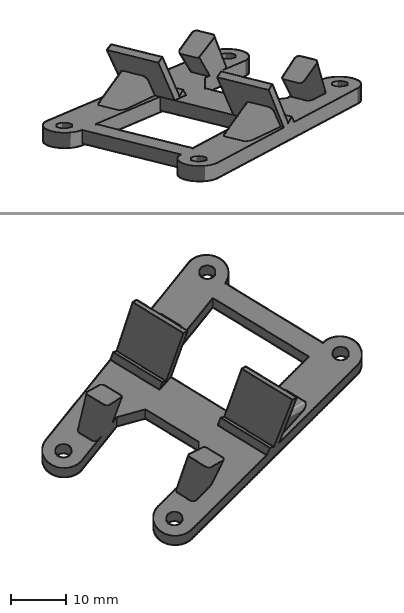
import cadquery as cq
import math

thickness = 3.0
length = 54.6
rear_half_spacing = 12.5
front_half_spacing = 15.0
hole_half_spacing = 23.55
lobe_radius = 4.0
hole_diameter = 2.95

front_bar_inner_y = -19.55
lower_edge_radius = 1.0
crossbar_rear_y = 7.35
notch_half_width = 6.0
notch_top_y = 11.85

lean = 60.0
top_z = 12.5
cradle_inner_x = 6.55
plate_thickness = 1.5
plate_foot_y = 0.6
lip_rear_y = 2.4
lip_peak_y = 1.5
lip_peak_z = 4.3
lip_valley_y = 0.4

brace_center_x = 14.05
brace_width = 6.1
brace_edge_radius = 1.05
brace_end_y = -11.2

post_top_y = 12.5
post_top_z = 8.8
post_height = 5.95
post_root_height = 4.85
post_outer_x = 13.9
post_root_outer_x = 13.25
post_inner_x = 9.0
post_root_inner_x = 8.85
post_corner_radius = 0.8
post_length = 8.2

lean_cos = math.cos(math.radians(lean))
lean_sin = math.sin(math.radians(lean))
lean_tan = math.tan(math.radians(lean))
plate_back_foot_y = plate_foot_y - plate_thickness / lean_sin
crossbar_front_y = plate_back_foot_y
leg_slope = (front_half_spacing - rear_half_spacing) / (2 * hole_half_spacing)


def leg_inner_x(y):
    """Distance from the centre plane to the inner edge of a leg."""
    mid_spacing = (front_half_spacing + rear_half_spacing) / 2
    return mid_spacing - leg_slope * y - lobe_radius


def leg_prism(height):
    """Right-hand leg outline with rounded ends, extruded up from the underside."""
    return (
        cq.Workplane("XY")
        .moveTo(rear_half_spacing - lobe_radius, hole_half_spacing)
        .threePointArc(
            (rear_half_spacing, length / 2),
            (rear_half_spacing + lobe_radius, hole_half_spacing),
        )
        .lineTo(front_half_spacing + lobe_radius, -hole_half_spacing)
        .threePointArc(
            (front_half_spacing, -length / 2),
            (front_half_spacing - lobe_radius, -hole_half_spacing),
        )
        .close()
        .extrude(height)
    )


def side_prism(points, inner_x, outer_x):
    """Extrude a closed (y, z) profile between two x positions."""
    return cq.Workplane("YZ", origin=(inner_x, 0, 0)).polyline(points).close().extrude(outer_x - inner_x)


def crossbar():
    half_outline = [
        (notch_half_width, crossbar_rear_y),
        (leg_inner_x(notch_top_y), notch_top_y),
        (rear_half_spacing, notch_top_y),
        (rear_half_spacing, crossbar_front_y),
    ]
    mirrored = [(-x, y) for x, y in reversed(half_outline)]
    return (
        cq.Workplane("XY")
        .polyline(half_outline + mirrored)
        .close()
        .extrude(thickness)
        .edges("<Y and <Z")
        .fillet(lower_edge_radius)
    )


def front_bar():
    depth = front_bar_inner_y + hole_half_spacing
    return (
        cq.Workplane("XY", origin=(0, -hole_half_spacing + depth / 2, 0))
        .rect(2 * front_half_spacing, depth)
        .extrude(thickness)
        .edges("<Y and <Z")
        .fillet(lower_edge_radius)
    )


def cradle():
    """Leaning plate and lip, trimmed flush with the outer edge of the leg."""
    front_top_y = plate_foot_y - (top_z - thickness) / lean_tan
    back_top_y = front_top_y - plate_thickness * lean_sin
    back_top_z = top_z - plate_thickness * lean_cos
    valley_z = thickness + (plate_foot_y - lip_valley_y) * lean_tan
    profile = [
        (lip_rear_y, thickness / 2),
        (lip_rear_y, thickness),
        (lip_peak_y, lip_peak_z),
        (lip_valley_y, valley_z),
        (front_top_y, top_z),
        (back_top_y, back_top_z),
        (plate_back_foot_y, thickness),
        (plate_back_foot_y, thickness / 2),
    ]
    outer_x = front_half_spacing + lobe_radius
    trim_y = length / 2
    edge_shift = 2 * lobe_radius
    trim = (
        cq.Workplane("XY")
        .moveTo(0, trim_y)
        .lineTo(leg_inner_x(trim_y) + edge_shift, trim_y)
        .lineTo(leg_inner_x(-trim_y) + edge_shift, -trim_y)
        .lineTo(0, -trim_y)
        .close()
        .extrude(top_z)
    )
    return side_prism(profile, cradle_inner_x, outer_x).intersect(trim)


def brace():
    plate_mid_foot_y = (plate_foot_y + plate_back_foot_y) / 2
    run = (plate_mid_foot_y - brace_end_y) * lean_sin
    meet_y = brace_end_y + run * lean_sin
    meet_z = thickness + run * lean_cos
    profile = [
        (brace_end_y + thickness / 2, thickness / 2),
        (brace_end_y, thickness),
        (meet_y, meet_z),
        (plate_mid_foot_y, thickness),
        (plate_mid_foot_y, thickness / 2),
    ]
    inner_x = brace_center_x - brace_width / 2
    body = side_prism(profile, inner_x, inner_x + brace_width)
    top_edge_middle_y = (brace_end_y + meet_y) / 2
    top_edge_middle_z = (thickness + meet_z) / 2
    for x in (inner_x, inner_x + brace_width):
        body = body.edges(cq.NearestToPointSelector((x, top_edge_middle_y, top_edge_middle_z))).fillet(
            brace_edge_radius
        )
    return body


def post():
    """Rounded taper along the lean direction, kept within the leg outline."""
    top_plane = cq.Plane(
        origin=(0, post_top_y, post_top_z), xDir=(1, 0, 0), normal=(0, lean_cos, -lean_sin)
    )

    def section(inner_x, outer_x, height):
        center = cq.Location(cq.Vector((inner_x + outer_x) / 2, 0, 0))
        return cq.Sketch().push([center]).rect(outer_x - inner_x, height).reset().vertices().fillet(
            post_corner_radius
        )

    body = (
        cq.Workplane(top_plane)
        .placeSketch(
            section(post_inner_x, post_outer_x, post_height),
            section(post_root_inner_x, post_root_outer_x, post_root_height).moved(
                cq.Location(cq.Vector(0, 0, post_length))
            ),
        )
        .loft()
    )
    return body.intersect(leg_prism(top_z))


side = leg_prism(thickness).union(cradle()).union(brace()).union(post())
frame = crossbar().union(front_bar()).union(side).union(side.mirror("YZ"))

hole_centers = []
for sign in (-1, 1):
    hole_centers.append((sign * rear_half_spacing, hole_half_spacing))
    hole_centers.append((sign * front_half_spacing, -hole_half_spacing))
holes = cq.Workplane("XY").pushPoints(hole_centers).circle(hole_diameter / 2).extrude(thickness)

result = frame.cut(holes)